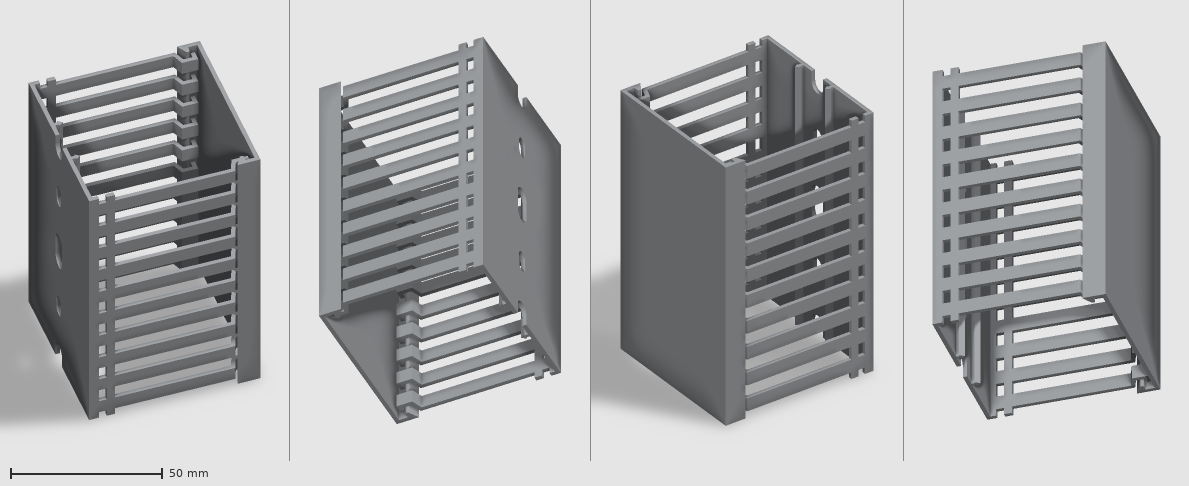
import cadquery as cq

WIDTH = 60.0
DEPTH = 60.0
LENGTH = 100.0
WALL = 1.5

HALF_WIDTH = WIDTH / 2
BACK = -DEPTH / 2
FRONT = DEPTH / 2
INNER_HALF = HALF_WIDTH - WALL
FLOOR = BACK + WALL

PITCH = 10.0
SLOT_WIDTH = 5.0
SLOT_START = 9.0
WINDOW_START = 3.5
WINDOW_END = 6.2
FINGER_COUNT = round(LENGTH / PITCH)

BEND_DROP = 8.8
BEND_RUN = 4.0
BEND_SLOPE = 0.4
BEND_DROP_INNER = 1.6
TIP_DROP = 2.5
LIP_REACH = 2.0

LID_SIDE = 8.1
HOOK_TOP_DROP = 4.7
HOOK_UNDER_DROP = 5.9
HOOK_REACH = 3.7
HOOK_NOSE_RADIUS = 0.6

RAIL_OFFSET = 8.5
RAIL_STEM = 1.2
RAIL_BARB_HALF = 1.2
RAIL_BARB_HEIGHT = 1.3
RAIL_HEIGHT = 3.0

LARGE_SLOT_LENGTH = 14.0
LARGE_SLOT_WIDTH = 6.6
SMALL_SLOT_LENGTH = 8.0
SMALL_SLOT_WIDTH = 4.5


def mirrored_profile(half):
    """Extrude the closed outline made of a right-hand half and its mirror image."""
    other = [(-x, y) for x, y in reversed(half)]
    return cq.Workplane("XY").polyline(half + other).close().extrude(LENGTH)


def duct_profile():
    bend_y = FRONT - BEND_DROP
    neck_x = HALF_WIDTH - BEND_RUN
    tip_x = neck_x - WALL
    tip_y = FRONT - TIP_DROP
    inner_y = bend_y - BEND_DROP_INNER
    return mirrored_profile([
        (HALF_WIDTH, BACK),
        (HALF_WIDTH, bend_y),
        (neck_x, bend_y + BEND_SLOPE * BEND_RUN),
        (neck_x, tip_y - WALL),
        (HALF_WIDTH - LIP_REACH, tip_y - WALL),
        (HALF_WIDTH - LIP_REACH, tip_y),
        (tip_x, tip_y),
        (tip_x, inner_y + BEND_SLOPE * (BEND_RUN + WALL)),
        (INNER_HALF, inner_y + BEND_SLOPE * WALL),
        (INNER_HALF, FLOOR),
    ])


def side_cut(y_start, y_end, z_center):
    return (
        cq.Workplane("XY")
        .box(2 * WIDTH, y_end - y_start, SLOT_WIDTH, centered=(True, False, True))
        .translate((0, y_start, z_center))
    )


def floor_slot(length, width, z_center):
    return (
        cq.Workplane("XZ", origin=(0, FLOOR, z_center))
        .slot2D(length, width, angle=90)
        .extrude(WALL)
    )


def rail(x_center):
    half_stem = RAIL_STEM / 2
    barb_y = FLOOR + RAIL_BARB_HEIGHT
    return (
        cq.Workplane("XY")
        .polyline([
            (x_center - half_stem, FLOOR),
            (x_center - half_stem, barb_y),
            (x_center - RAIL_BARB_HALF, barb_y),
            (x_center, FLOOR + RAIL_HEIGHT),
            (x_center + RAIL_BARB_HALF, barb_y),
            (x_center + half_stem, barb_y),
            (x_center + half_stem, FLOOR),
        ])
        .close()
        .extrude(LENGTH)
    )


def make_duct():
    duct = duct_profile()
    for index in range(FINGER_COUNT + 1):
        z_center = index * PITCH
        duct = duct.cut(side_cut(BACK + SLOT_START, FRONT, z_center))
        duct = duct.cut(side_cut(BACK + WINDOW_START, BACK + WINDOW_END, z_center))
    for x_center in (-RAIL_OFFSET, RAIL_OFFSET):
        duct = duct.union(rail(x_center))
    for z_center in (0, LENGTH / 2, LENGTH):
        duct = duct.cut(floor_slot(LARGE_SLOT_LENGTH, LARGE_SLOT_WIDTH, z_center))
    for z_center in (LENGTH / 4, 3 * LENGTH / 4):
        duct = duct.cut(floor_slot(SMALL_SLOT_LENGTH, SMALL_SLOT_WIDTH, z_center))
    return duct


def make_lid():
    nose_x = HALF_WIDTH - HOOK_REACH
    sharp_lid = mirrored_profile([
        (HALF_WIDTH, FRONT),
        (HALF_WIDTH, FRONT - LID_SIDE),
        (nose_x, FRONT - HOOK_UNDER_DROP),
        (nose_x, FRONT - HOOK_TOP_DROP),
        (INNER_HALF, FRONT - HOOK_TOP_DROP),
        (INNER_HALF, FRONT - WALL),
    ])
    nose_faces = sharp_lid.faces(cq.selectors.BoxSelector(
        (-nose_x - HOOK_NOSE_RADIUS, BACK, 0),
        (nose_x + HOOK_NOSE_RADIUS, FRONT - HOOK_TOP_DROP, LENGTH),
    ))
    return nose_faces.edges("|Z").fillet(HOOK_NOSE_RADIUS)


duct = make_duct()
lid = make_lid()

result = cq.Compound.makeCompound([duct.val(), lid.val()])